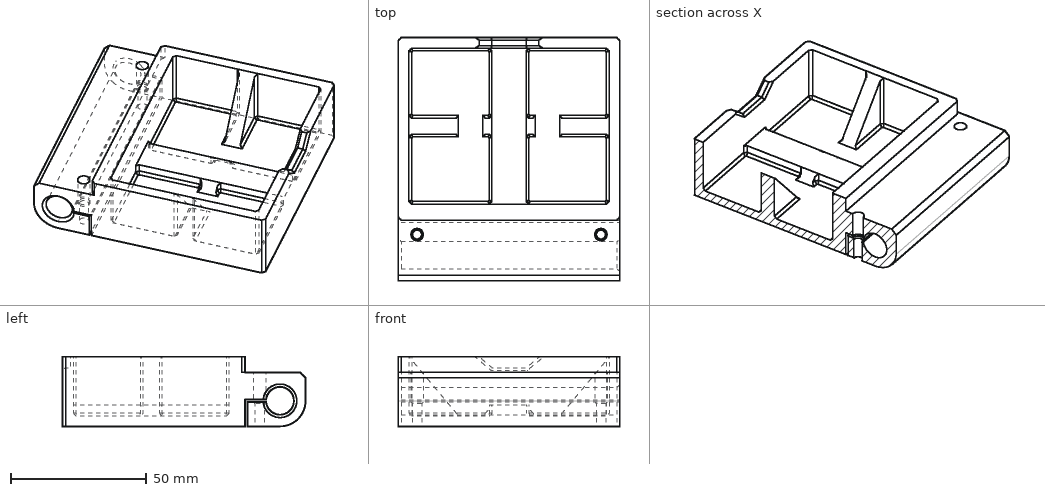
import cadquery as cq
import math


WIDTH = 82.0
LENGTH = 90.0
HEIGHT = 25.8
CORNER_CHAMFER = 1.2

CLAMP_LENGTH = 22.4
CLAMP_HEIGHT = 20.0
CLAMP_EDGE_CHAMFER = 2.0
CLAMP_RADIUS = 9.5
BORE_DIAMETER = 10.2
BORE_CHAMFER = 1.1
SLIT_WIDTH = 0.8

SCREW_SPACING = 68.0
SCREW_Y = 17.1
SCREW_CLEARANCE_DIAMETER = 4.5
SCREW_THREAD_DIAMETER = 3.4

WALL = 4.0
FRONT_WALL = 6.0
FLOOR_Z = 4.0
POCKET_CHAMFER = 1.0

CENTRE_RIB_WIDTH = 12.6
CENTRE_RIB_TOP_Z = 8.0
CROSS_RIB_WIDTH = 6.0
CROSS_RIB_ANGLE = 50.0

NOTCH_FLOOR_WIDTH = CENTRE_RIB_WIDTH
NOTCH_DEPTH = 4.0
NOTCH_ANGLE = 40.0
NOTCH_CHAMFER = 1.0

JAW_TOP_Z = CLAMP_RADIUS - SLIT_WIDTH / 2
POCKET_HALF_WIDTH = WIDTH / 2 - WALL
POCKET_FRONT_Y = CLAMP_LENGTH + FRONT_WALL
POCKET_REAR_Y = LENGTH - WALL
POCKET_MID_Y = (POCKET_FRONT_Y + POCKET_REAR_Y) / 2
POCKET_LENGTH = POCKET_REAR_Y - POCKET_FRONT_Y


def make_block():
    """Tray body with chamfered upright corners, plus the clamp bar in front of it."""
    tray = (
        cq.Workplane("XY")
        .box(WIDTH, LENGTH - CLAMP_LENGTH, HEIGHT, centered=(True, False, False))
        .translate((0, CLAMP_LENGTH, 0))
        .edges("|Z")
        .chamfer(CORNER_CHAMFER)
    )
    clamp = (
        cq.Workplane("YZ")
        .moveTo(CLAMP_RADIUS, 0)
        .lineTo(POCKET_FRONT_Y, 0)
        .lineTo(POCKET_FRONT_Y, CLAMP_HEIGHT)
        .lineTo(CLAMP_EDGE_CHAMFER, CLAMP_HEIGHT)
        .lineTo(0, CLAMP_HEIGHT - CLAMP_EDGE_CHAMFER)
        .lineTo(0, CLAMP_RADIUS)
        .radiusArc((CLAMP_RADIUS, 0), -CLAMP_RADIUS)
        .close()
        .extrude(WIDTH / 2, both=True)
    )
    return tray.union(clamp)


def make_mouth(point, direction, hole_diameter, chamfer):
    """Cone that chamfers the mouth of a hole entered at a point along a direction."""
    hole_radius = hole_diameter / 2
    cone = cq.Solid.makeCone(
        hole_radius + chamfer, hole_radius, chamfer, pnt=cq.Vector(*point), dir=cq.Vector(*direction)
    )
    return cq.Workplane(obj=cone)


def make_bore():
    """Rod bore through the clamp, chamfered at both ends."""
    bore = (
        cq.Workplane("YZ")
        .center(CLAMP_RADIUS, CLAMP_RADIUS)
        .circle(BORE_DIAMETER / 2)
        .extrude(WIDTH / 2, both=True)
    )
    for side in (-1, 1):
        end = (side * WIDTH / 2, CLAMP_RADIUS, CLAMP_RADIUS)
        bore = bore.union(make_mouth(end, (-side, 0, 0), BORE_DIAMETER, BORE_CHAMFER))
    return bore


def make_slit():
    """L-shaped slit from the bore back to the tray and down to the underside."""
    top_z = CLAMP_RADIUS + SLIT_WIDTH / 2
    rear_y = CLAMP_LENGTH
    front_y = rear_y - SLIT_WIDTH
    outline = [
        (CLAMP_RADIUS, top_z),
        (rear_y, top_z),
        (rear_y, 0),
        (front_y, 0),
        (front_y, JAW_TOP_Z),
        (CLAMP_RADIUS, JAW_TOP_Z),
    ]
    return cq.Workplane("YZ").polyline(outline).close().extrude(WIDTH / 2, both=True)


def make_screw_holes():
    """Clearance holes down to the slit, then thread holes with a chamfered mouth in the lower jaw."""
    places = [(-SCREW_SPACING / 2, SCREW_Y), (SCREW_SPACING / 2, SCREW_Y)]
    holes = (
        cq.Workplane("XY", origin=(0, 0, JAW_TOP_Z))
        .pushPoints(places)
        .circle(SCREW_CLEARANCE_DIAMETER / 2)
        .extrude(CLAMP_HEIGHT - JAW_TOP_Z)
    )
    thread = (
        cq.Workplane("XY")
        .pushPoints(places)
        .circle(SCREW_THREAD_DIAMETER / 2)
        .extrude(JAW_TOP_Z)
    )
    holes = holes.union(thread)
    mouth_chamfer = (SCREW_CLEARANCE_DIAMETER - SCREW_THREAD_DIAMETER) / 2
    for x, y in places:
        holes = holes.union(make_mouth((x, y, JAW_TOP_Z), (0, 0, -1), SCREW_THREAD_DIAMETER, mouth_chamfer))
    return holes


def make_pocket_cell(x_side, y_side):
    """One quarter of the pocket, with chamfered upright corners and floor edges."""
    cell_width = POCKET_HALF_WIDTH - CENTRE_RIB_WIDTH / 2
    cell_length = (POCKET_LENGTH - CROSS_RIB_WIDTH) / 2
    centre_x = x_side * (CENTRE_RIB_WIDTH + cell_width) / 2
    centre_y = POCKET_MID_Y + y_side * (CROSS_RIB_WIDTH + cell_length) / 2
    return (
        cq.Workplane("XY")
        .box(cell_width, cell_length, HEIGHT - FLOOR_Z, centered=(True, True, False))
        .translate((centre_x, centre_y, FLOOR_Z))
        .edges("|Z")
        .chamfer(POCKET_CHAMFER)
        .faces("<Z")
        .edges()
        .chamfer(POCKET_CHAMFER)
    )


def make_centre_clearance():
    """Space above the centre rib, joining the left and right pocket cells."""
    return (
        cq.Workplane("XY")
        .box(
            CENTRE_RIB_WIDTH + 2 * POCKET_CHAMFER,
            POCKET_LENGTH,
            HEIGHT - CENTRE_RIB_TOP_Z,
            centered=(True, True, False),
        )
        .translate((0, POCKET_MID_Y, CENTRE_RIB_TOP_Z))
    )


def make_cross_rib_clearance():
    """Space above the sloping cross ribs, which fall from the rim and the centre rib."""
    slope = math.tan(math.radians(CROSS_RIB_ANGLE))
    rib_half = CENTRE_RIB_WIDTH / 2
    outer_foot = POCKET_HALF_WIDTH - (HEIGHT - FLOOR_Z) / slope
    inner_foot = rib_half + (CENTRE_RIB_TOP_Z - FLOOR_Z) / slope
    right_side = [
        (rib_half, CENTRE_RIB_TOP_Z),
        (inner_foot, FLOOR_Z),
        (outer_foot, FLOOR_Z),
        (POCKET_HALF_WIDTH, HEIGHT),
    ]
    left_side = [(-x, z) for x, z in reversed(right_side)]
    depth = CROSS_RIB_WIDTH + 2 * POCKET_CHAMFER
    return (
        cq.Workplane("XZ", origin=(0, POCKET_MID_Y, 0))
        .polyline(left_side + right_side)
        .close()
        .extrude(depth / 2, both=True)
    )


def notch_section(y, offset):
    """Notch outline at depth y, with its floor and flanks moved outward by offset."""
    angle = math.radians(NOTCH_ANGLE)
    floor_half = NOTCH_FLOOR_WIDTH / 2 + offset * math.tan(angle / 2)
    floor_z = HEIGHT - NOTCH_DEPTH - offset
    top_half = floor_half + (HEIGHT - floor_z) / math.tan(angle)
    return cq.Wire.makePolygon(
        [
            cq.Vector(-floor_half, y, floor_z),
            cq.Vector(floor_half, y, floor_z),
            cq.Vector(top_half, y, HEIGHT),
            cq.Vector(-top_half, y, HEIGHT),
        ],
        close=True,
    )


def make_notch():
    """Flared notch through the rear wall, chamfered on both wall faces."""
    stations = [
        (POCKET_REAR_Y, NOTCH_CHAMFER),
        (POCKET_REAR_Y + NOTCH_CHAMFER, 0),
        (LENGTH - NOTCH_CHAMFER, 0),
        (LENGTH, NOTCH_CHAMFER),
    ]
    sections = [notch_section(y, offset) for y, offset in stations]
    return cq.Workplane(obj=cq.Solid.makeLoft(sections, True))


result = make_block().cut(make_bore()).cut(make_slit()).cut(make_screw_holes())
for x_side in (-1, 1):
    for y_side in (-1, 1):
        result = result.cut(make_pocket_cell(x_side, y_side))
result = result.cut(make_centre_clearance()).cut(make_cross_rib_clearance()).cut(make_notch())